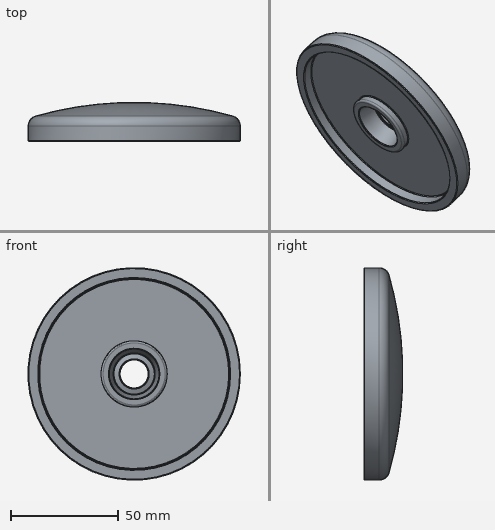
import cadquery as cq
import math


outer_radius = 49.5
rim_chamfer = 0.4
shoulder_y = 7.0
shoulder_radius = 4.95
dome_radius = 168.3

recess_mouth_radius = 44.9
recess_floor_radius = 44.1
recess_edge = 0.4
recess_depth = 4.95

boss_radius = 15.4
boss_neck_radius = 15.0
boss_face_y = 0.8
boss_edge_radius = 1.0
boss_root_radius = 0.4

socket_mouth_radius = 11.6
socket_floor_radius = 9.8
socket_edge = 0.4
socket_floor_y = 9.9
cone_rise = 0.8
bore_mouth_radius = 7.0
bore_exit_radius = 6.5

shoulder_centre_radius = outer_radius - shoulder_radius
dome_tilt = math.asin(shoulder_centre_radius / (dome_radius - shoulder_radius))
dome_centre_y = shoulder_y - (dome_radius - shoulder_radius) * math.cos(dome_tilt)


def on_dome(radius):
    """Profile point on the dome at the given distance from the axis."""
    return radius, dome_centre_y + math.sqrt(dome_radius**2 - radius**2)


def on_shoulder(angle):
    """Profile point on the shoulder arc, with the angle measured from +Y."""
    return (
        shoulder_centre_radius + shoulder_radius * math.sin(angle),
        shoulder_y + shoulder_radius * math.cos(angle),
    )


dome_edge = on_shoulder(dome_tilt)
shoulder_middle = on_shoulder((dome_tilt + math.pi / 2) / 2)
dome_middle = on_dome((dome_edge[0] + bore_exit_radius) / 2)

boss_corner_mid = boss_edge_radius * (1 - math.sqrt(0.5))

profile = (
    cq.Workplane("XY")
    .moveTo(outer_radius - rim_chamfer, 0)
    .lineTo(outer_radius, rim_chamfer)
    .lineTo(outer_radius, shoulder_y)
    .threePointArc(shoulder_middle, dome_edge)
    .threePointArc(dome_middle, on_dome(bore_exit_radius))
    .lineTo(bore_mouth_radius, socket_floor_y - cone_rise)
    .lineTo(socket_floor_radius - socket_edge, socket_floor_y)
    .lineTo(socket_floor_radius, socket_floor_y - socket_edge)
    .lineTo(socket_mouth_radius, boss_face_y + socket_edge)
    .lineTo(socket_mouth_radius + socket_edge, boss_face_y)
    .lineTo(boss_radius - boss_edge_radius, boss_face_y)
    .threePointArc(
        (boss_radius - boss_corner_mid, boss_face_y + boss_corner_mid),
        (boss_radius, boss_face_y + boss_edge_radius),
    )
    .lineTo(boss_neck_radius, recess_depth - boss_root_radius)
    .lineTo(boss_neck_radius + boss_root_radius, recess_depth)
    .lineTo(recess_floor_radius, recess_depth)
    .lineTo(recess_floor_radius + recess_edge, recess_depth - recess_edge)
    .lineTo(recess_mouth_radius - recess_edge, recess_edge)
    .lineTo(recess_mouth_radius, 0)
    .close()
)

result = profile.revolve(360, (0, 0, 0), (0, 1, 0))